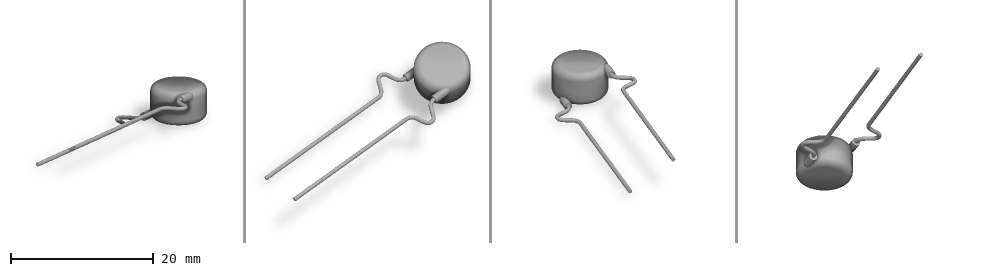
import cadquery as cq
import math

disc_diameter = 8.0
disc_height = 5.05
disc_edge_radius = 1.0
disc_radius = disc_diameter / 2

sleeve_diameter = 1.2
sleeve_length = 1.7
sleeve_tip_length = 1.0
sleeve_radius = sleeve_diameter / 2
sleeve_front = -disc_radius
sleeve_back = sleeve_front + sleeve_length

lead_diameter = 0.6
lead_spacing = 6.47
overall_width = 12.08
overall_length = 33.0
bend_half_length = 2.48
end_handle = 1.65
bulge_handle = 1.25
lead_radius = lead_diameter / 2
lead_x = lead_spacing / 2
lead_z = disc_height / 2 - sleeve_radius
bulge_x = overall_width / 2 - lead_radius
bulge_y = sleeve_front - bend_half_length
bend_end_y = bulge_y - bend_half_length
lead_end_y = disc_radius - overall_length

lead_sides = (1, -1)


def make_sleeve(side):
    """Round sleeve along Y with a domed tip that sinks into the disc."""
    tip_end = sleeve_back + sleeve_tip_length
    diagonal = math.sqrt(0.5)
    dome_middle = (sleeve_radius * diagonal, sleeve_back + sleeve_tip_length * diagonal)
    profile = (
        cq.Workplane("XY")
        .moveTo(0, sleeve_front)
        .lineTo(sleeve_radius, sleeve_front)
        .lineTo(sleeve_radius, sleeve_back)
        .spline([dome_middle, (0, tip_end)], tangents=[(0, 1), (-1, 0)], includeCurrent=True)
        .close()
    )
    sleeve = profile.revolve(360, (0, 0, 0), (0, 1, 0))
    return sleeve.translate((side * lead_x, 0, side * lead_z))


def make_housing():
    """Disc with rounded rims and both sleeves as one solid."""
    housing = (
        cq.Workplane("XY", origin=(0, 0, -disc_height / 2))
        .circle(disc_radius)
        .extrude(disc_height)
        .edges("%CIRCLE")
        .fillet(disc_edge_radius)
    )
    for side in lead_sides:
        housing = housing.union(make_sleeve(side))
    return housing


def make_lead(side):
    """Wire that leaves the sleeve, bulges outward and runs straight to its end."""
    z = side * lead_z
    inner_x = side * lead_x
    outer_x = side * bulge_x
    path = (
        cq.Workplane("XY", origin=(0, 0, z))
        .moveTo(inner_x, sleeve_front)
        .bezier([
            (inner_x, sleeve_front),
            (inner_x, sleeve_front - end_handle),
            (outer_x, bulge_y + bulge_handle),
            (outer_x, bulge_y),
        ])
        .bezier([
            (outer_x, bulge_y),
            (outer_x, bulge_y - bulge_handle),
            (inner_x, bend_end_y + end_handle),
            (inner_x, bend_end_y),
        ])
        .lineTo(inner_x, lead_end_y)
    )
    section = cq.Workplane("XZ", origin=(inner_x, sleeve_front, z)).circle(lead_radius)
    return section.sweep(path)


housing = make_housing()
leads = [make_lead(side) for side in lead_sides]

result = cq.Compound.makeCompound([housing.val(), *[lead.val() for lead in leads]])